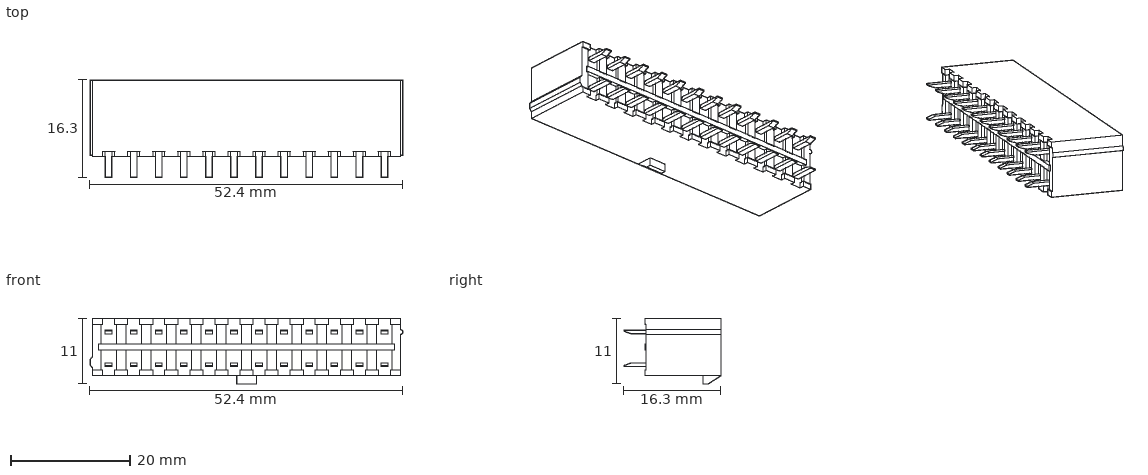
import cadquery as cq


TOTAL_LENGTH = 52.4
TOTAL_DEPTH = 16.3
TOTAL_HEIGHT = 11.0

KEY_PROJECTION = 0.4
BEAD_PROJECTION = 0.4
BODY_LENGTH = TOTAL_LENGTH - KEY_PROJECTION - BEAD_PROJECTION
LATCH_HEIGHT = 1.4
BODY_HEIGHT = TOTAL_HEIGHT - LATCH_HEIGHT
BODY_DEPTH = 12.8
BODY_END_X = BODY_LENGTH / 2

PAD_FACE_Y = -BODY_DEPTH
PAD_STEP = 0.2
RIB_FACE_Y = PAD_FACE_Y + PAD_STEP
CHANNEL_DEPTH = 0.8
FLOOR_Y = PAD_FACE_Y + CHANNEL_DEPTH
PIN_TIP_Y = -TOTAL_DEPTH

COLUMNS = 12
PITCH = 4.2
COLUMN_XS = [(i - (COLUMNS - 1) / 2) * PITCH for i in range(COLUMNS)]

CHANNEL_WIDTH = 2.6
NOTCH_WIDTH = 2.0
PAD_HEIGHT = 1.0
BAR_HEIGHT = 1.0
BAR_END_INSET = 1.0

PIN_WIDTH = 1.14
PIN_THICKNESS = 0.64
PIN_TIP_THICKNESS = 0.2
PIN_TAPER_LENGTH = 1.2
ROW_SPACING = 5.5
ROW_DROP = 0.22
ROW_CENTRE_Z = BODY_HEIGHT / 2 - ROW_DROP

KEY_CENTRE_Z = 2.25
KEY_BASE_HEIGHT = 1.92
KEY_CREST_HEIGHT = 0.96

BEAD_CENTRE_Z = 7.32

LATCH_WIDTH = 3.35
LATCH_DEPTH = 3.05
LATCH_CREST_DEPTH = 0.87


def block(x_min, x_max, y_min, y_max, z_min, z_max):
    """Box between the given limits."""
    size = (x_max - x_min, y_max - y_min, z_max - z_min)
    return cq.Workplane("XY").box(*size, centered=False).translate((x_min, y_min, z_min))


def centred_block(x, width, y_min, y_max, z_min, z_max):
    """Box of the given width centred on x."""
    return block(x - width / 2, x + width / 2, y_min, y_max, z_min, z_max)


def cut_channels(body):
    """Set the ribs back behind the pads and sink one channel per column, narrower between the pads."""
    pad_top_z = BODY_HEIGHT - PAD_HEIGHT
    body = body.cut(centred_block(0, BODY_LENGTH, PAD_FACE_Y, RIB_FACE_Y, PAD_HEIGHT, pad_top_z))
    for x in COLUMN_XS:
        body = body.cut(centred_block(x, NOTCH_WIDTH, PAD_FACE_Y, FLOOR_Y, 0, BODY_HEIGHT))
        body = body.cut(centred_block(x, CHANNEL_WIDTH, PAD_FACE_Y, FLOOR_Y, PAD_HEIGHT, pad_top_z))
    return body


def cross_bar():
    """Bar between the two rows, level with the pads."""
    length = BODY_LENGTH - 2 * BAR_END_INSET
    z_min = (BODY_HEIGHT - BAR_HEIGHT) / 2
    return centred_block(0, length, PAD_FACE_Y, FLOOR_Y, z_min, z_min + BAR_HEIGHT)


def pin(x, row_side):
    """Flat pin of the upper (row_side = 1) or lower (-1) row, tapered on the side facing the other row."""
    outer_z = ROW_CENTRE_Z + row_side * (ROW_SPACING + PIN_THICKNESS) / 2
    inner_z = outer_z - row_side * PIN_THICKNESS
    tip_z = outer_z - row_side * PIN_TIP_THICKNESS
    profile = [
        (FLOOR_Y, outer_z),
        (PIN_TIP_Y, outer_z),
        (PIN_TIP_Y, tip_z),
        (PIN_TIP_Y + PIN_TAPER_LENGTH, inner_z),
        (FLOOR_Y, inner_z),
    ]
    outline = cq.Workplane("YZ", origin=(x, 0, 0)).polyline(profile).close()
    return outline.extrude(PIN_WIDTH / 2, both=True)


def key_ridge():
    """Ridge of trapezoidal section along the -X end."""
    crest_x = -BODY_END_X - KEY_PROJECTION
    profile = [
        (-BODY_END_X, KEY_CENTRE_Z - KEY_BASE_HEIGHT / 2),
        (-BODY_END_X, KEY_CENTRE_Z + KEY_BASE_HEIGHT / 2),
        (crest_x, KEY_CENTRE_Z + KEY_CREST_HEIGHT / 2),
        (crest_x, KEY_CENTRE_Z - KEY_CREST_HEIGHT / 2),
    ]
    return cq.Workplane("XZ").polyline(profile).close().extrude(-RIB_FACE_Y)


def round_bead():
    """Half-round bead along the +X end."""
    outline = cq.Workplane("XZ").moveTo(BODY_END_X, BEAD_CENTRE_Z - BEAD_PROJECTION)
    outline = outline.threePointArc(
        (BODY_END_X + BEAD_PROJECTION, BEAD_CENTRE_Z),
        (BODY_END_X, BEAD_CENTRE_Z + BEAD_PROJECTION),
    )
    return outline.close().extrude(-RIB_FACE_Y)


def latch_ramp():
    """Wedge under the housing that slopes down from the back face to a flat crest."""
    profile = [
        (0, 0),
        (LATCH_CREST_DEPTH - LATCH_DEPTH, -LATCH_HEIGHT),
        (-LATCH_DEPTH, -LATCH_HEIGHT),
        (-LATCH_DEPTH, 0),
    ]
    return cq.Workplane("YZ").polyline(profile).close().extrude(LATCH_WIDTH / 2, both=True)


body = centred_block(0, BODY_LENGTH, PAD_FACE_Y, 0, 0, BODY_HEIGHT)
body = cut_channels(body)
body = body.union(cross_bar())
body = body.union(key_ridge()).union(round_bead()).union(latch_ramp())
for column_x in COLUMN_XS:
    for side in (1, -1):
        body = body.union(pin(column_x, side))

result = body